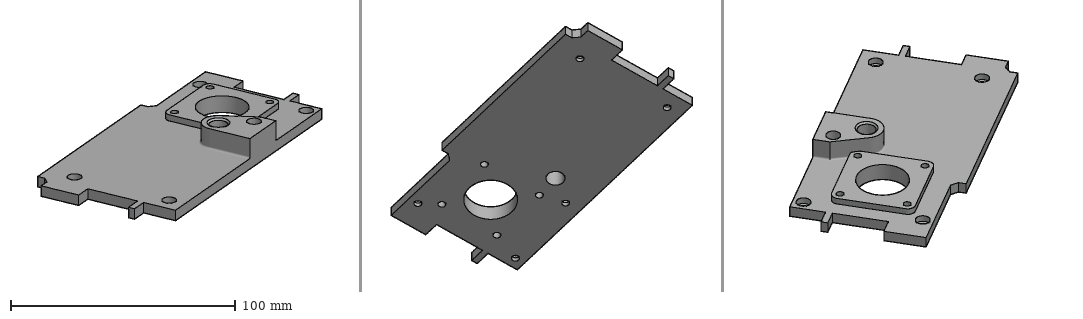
import cadquery as cq
import math

length = 143.6
width = 71.5
plate_thickness = 5.2
tab_length = 7.9
left_step = 6.5
left_chamfer = 2.9
left_step_top = 98.1
wide_tab_right = 26.0
narrow_tab_left = 51.9
narrow_tab_width = 3.2

pad_size = 38.6
pad_height = 3.0
pad_corner_radius = 3.5
pad_center = (35.8, 108.9)
pad_opening_diameter = 24.0
pad_hole_spacing = 31.0
pad_hole_diameter = 3.5

total_height = 15.0
nose_center = (50.5, 80.7)
nose_radius = 7.8
boss_corner = (63.6, 95.5)
boss_fillet = 0.9
bore_diameter = 8.5
bore_chamfer = 0.9

screw_diameter = 3.5
counterbore_diameter = 6.6
counterbore_depth = 3.0
screw_right_x = 63.5
screw_centers = [(11.5, 130.5), (66.5, 130.5), (14.4, 16.0), (screw_right_x, 16.0)]
boss_screw_center = (screw_right_x, 90.0)
counterbore_floor = plate_thickness - counterbore_depth


def make_plate():
    left_end = left_step - left_chamfer
    narrow_tab_right = narrow_tab_left + narrow_tab_width
    shoulder = length - tab_length
    outline = [
        (0, tab_length),
        (left_end, tab_length),
        (left_step, tab_length - left_chamfer),
        (left_step, 0),
        (wide_tab_right, 0),
        (wide_tab_right, tab_length),
        (narrow_tab_left, tab_length),
        (narrow_tab_left, 0),
        (narrow_tab_right, 0),
        (narrow_tab_right, tab_length),
        (width, tab_length),
        (width, shoulder),
        (narrow_tab_right, shoulder),
        (narrow_tab_right, length),
        (narrow_tab_left, length),
        (narrow_tab_left, shoulder),
        (wide_tab_right, shoulder),
        (wide_tab_right, length),
        (left_step, length),
        (left_step, left_step_top + left_chamfer),
        (left_end, left_step_top),
        (0, left_step_top),
    ]
    return cq.Workplane("XY").polyline(outline).close().extrude(plate_thickness)


def nose_point(angle):
    return (
        nose_center[0] + nose_radius * math.cos(angle),
        nose_center[1] + nose_radius * math.sin(angle),
    )


def make_boss():
    corner_dx = boss_corner[0] - nose_center[0]
    corner_dy = boss_corner[1] - nose_center[1]
    corner_distance = math.hypot(corner_dx, corner_dy)
    tangent_angle = math.atan2(corner_dy, corner_dx) + math.acos(nose_radius / corner_distance)
    nose_bottom_angle = 1.5 * math.pi
    middle_angle = (tangent_angle + nose_bottom_angle) / 2
    nose_bottom = nose_point(nose_bottom_angle)
    return (
        cq.Workplane("XY")
        .moveTo(*boss_corner)
        .lineTo(*nose_point(tangent_angle))
        .threePointArc(nose_point(middle_angle), nose_bottom)
        .lineTo(width, nose_bottom[1])
        .lineTo(width, boss_corner[1])
        .close()
        .extrude(total_height)
    )


def fillet_boss_base(body):
    margin = 1.5
    foot_box = cq.selectors.BoxSelector(
        (nose_center[0] - nose_radius - margin, nose_center[1] - nose_radius - margin, plate_thickness - margin),
        (width - margin, boss_corner[1] + margin, plate_thickness + margin),
    )
    return body.edges(foot_box).fillet(boss_fillet)


def make_pad():
    return (
        cq.Workplane("XY")
        .center(*pad_center)
        .rect(pad_size, pad_size)
        .extrude(plate_thickness + pad_height)
        .edges("|Z")
        .fillet(pad_corner_radius)
    )


def cut_pad_holes(body):
    pad_plane = cq.Workplane("XY").center(*pad_center)
    opening = pad_plane.circle(pad_opening_diameter / 2).extrude(total_height)
    corner_holes = (
        pad_plane.rect(pad_hole_spacing, pad_hole_spacing, forConstruction=True)
        .vertices()
        .circle(pad_hole_diameter / 2)
        .extrude(total_height)
    )
    return body.cut(opening).cut(corner_holes)


def cut_screw_holes(body, centers, top):
    return (
        body.copyWorkplane(cq.Workplane("XY", origin=(0, 0, top)))
        .pushPoints(centers)
        .cboreHole(screw_diameter, counterbore_diameter, top - counterbore_floor)
    )


def cut_bore(body):
    return (
        body.copyWorkplane(cq.Workplane("XY", origin=(0, 0, total_height)))
        .pushPoints([nose_center])
        .cskHole(bore_diameter, bore_diameter + 2 * bore_chamfer, 90)
    )


result = fillet_boss_base(make_plate().union(make_boss()))
result = result.union(make_pad())
result = cut_pad_holes(result)
result = cut_screw_holes(result, screw_centers, plate_thickness)
result = cut_screw_holes(result, [boss_screw_center], total_height)
result = cut_bore(result)